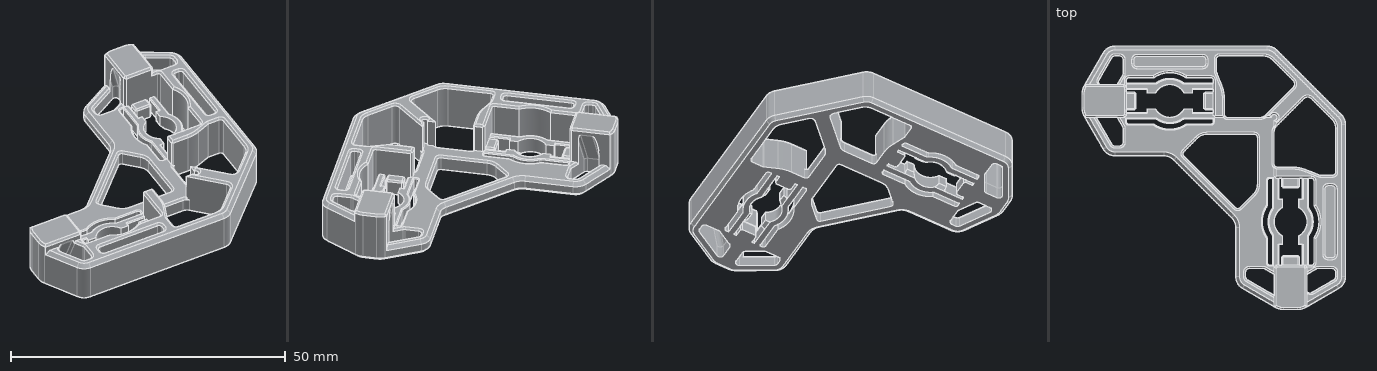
import cadquery as cq
import math

SIDE = 48.0
BLOCK_HEIGHT = 10.1
WALL_HEIGHT = 8.55
PLATE_HEIGHT = 2.95

ARM_WIDTH = 20.0
ARM_MIDDLE = SIDE - ARM_WIDTH / 2
NOSE_HALF_WIDTH = 2.05
NOSE_DEPTH = (ARM_WIDTH / 2 - NOSE_HALF_WIDTH) / math.tan(math.radians(60))
OUTER_CUT = 13.25
INNER_CORNER = 16.0
OUTLINE_RADIUS = 2.5
NOSE_RADIUS = 3.0
OUTER_CHAMFER = 0.7

RIM = 1.8
EDGE_CHAMFER = 0.4
FINE_CHAMFER = 0.2
SMALL_RADIUS = 0.6
RIB_WIDTH = 2.85

BLOCK_LENGTH = 8.1
BLOCK_HALF_WIDTH = 6.0 / 2

CLIP_LENGTH = 15.8
CLIP_X = BLOCK_LENGTH + CLIP_LENGTH / 2
STOP_X = BLOCK_LENGTH + CLIP_LENGTH
WINDOW_HALF_WIDTH = 4.2
WINDOW_BULGE_RADIUS = 5.15
SLOT_END_RADIUS = 0.45
BEAM_INNER = 2.1
BEAM_OUTER = 3.25
BEAM_RING_RADIUS = 4.15
CLIP_HOLE_RADIUS = 3.0
NUB_INNER = 1.45
NUB_HALF_LENGTH = 4.15
TOOTH_LENGTH = 1.75
TOOTH_HALF_WIDTH = 1.65
TOOTH_CHAMFER = 0.3

RECESS_EDGE = 35.0
RELIEF_RADIUS = 0.55

OPENING_LEFT = 24.5
OPENING_BEND_Y = 43.35
STOP_BACK_X = 25.95
STOP_BEND_Y = 39.6
STOP_BEND_RADIUS = 6.7
RIB_FOOT_RADIUS = 1.65
RIB_CORNER_RADIUS = 0.95

TRIANGLE_EDGE = 31.9
TRIANGLE_SLANT = 10.2

POCKET_LENGTH = 13.1
POCKET_WIDTH = 1.85
POCKET_Y = 45.15

TIP_RIGHT = 7.5
TIP_BLOCK_RIGHT = 6.45
TIP_DEPTH = 1.7
TIP_ROOF = 8.95
TIP_RADIUS = 0.65


def prism(points, height):
    """Upright prism standing on Z = 0."""
    return cq.Workplane("XY").polyline(points).close().extrude(height)


def round_corner(body, x, y, radius):
    """Round the upright edge that passes through (x, y)."""
    reach = 0.05
    box = cq.selectors.BoxSelector((x - reach, y - reach, -0.5), (x + reach, y + reach, SIDE), boundingbox=False)
    return body.edges("|Z").edges(box).fillet(radius)


def flared(body, top, chamfer):
    """Cutter that is straight up to the surface at `top`, where it opens out by a chamfer."""
    start = top - chamfer
    section = body.faces("<Z").wires().val().translate(cq.Vector(0, 0, start))
    flare = cq.Solid.extrudeLinear(section, [], cq.Vector(0, 0, 2 * chamfer), -45)
    return body.union(cq.Workplane(flare))


def across_arm(body):
    """Reflect about the middle plane of the arm along X."""
    return body.mirror("XZ", (0, ARM_MIDDLE, 0))


def other_arm(body):
    """Reflect about the plane X = Y."""
    return body.mirror(cq.Vector(1, -1, 0), (0, 0, 0))


def both_arms(body):
    return body.union(other_arm(body))


def outline(height, chamfer_top):
    """The whole L as a prism with chamfered outer edges."""
    half = [
        (INNER_CORNER, SIDE - ARM_WIDTH),
        (NOSE_DEPTH, SIDE - ARM_WIDTH),
        (0, ARM_MIDDLE - NOSE_HALF_WIDTH),
        (0, ARM_MIDDLE + NOSE_HALF_WIDTH),
        (NOSE_DEPTH, SIDE),
        (SIDE - OUTER_CUT, SIDE),
    ]
    mirrored = [(y, x) for x, y in reversed(half)]
    body = prism(half + mirrored, height)
    for x, y in half + mirrored:
        on_nose = 0 in (x, y)
        body = round_corner(body, x, y, NOSE_RADIUS if on_nose else OUTLINE_RADIUS)
    faces = "<Z or >Z" if chamfer_top else "<Z"
    return body.faces(faces).edges().chamfer(OUTER_CHAMFER)


def large_opening(bottom):
    rim_sum = 2 * SIDE - OUTER_CUT - RIM * math.sqrt(2)
    rib = RIB_WIDTH / math.sqrt(2)
    top = SIDE - RIM
    points = [
        (OPENING_LEFT, top),
        (OPENING_LEFT, OPENING_BEND_Y),
        (STOP_BACK_X, STOP_BEND_Y),
        (STOP_BACK_X, bottom),
        (bottom - rib, bottom),
        ((rim_sum - rib) / 2, (rim_sum + rib) / 2),
        (rim_sum - top, top),
    ]
    radii = [SMALL_RADIUS, SMALL_RADIUS, STOP_BEND_RADIUS]
    radii += [SMALL_RADIUS, RIB_FOOT_RADIUS, RIB_CORNER_RADIUS, OUTLINE_RADIUS]
    body = prism(points, BLOCK_HEIGHT)
    for (x, y), radius in zip(points, radii):
        body = round_corner(body, x, y, radius)
    return body


def triangular_opening():
    rim_sum = SIDE - ARM_WIDTH + INNER_CORNER + RIM * math.sqrt(2)
    tip = ((rim_sum - TRIANGLE_SLANT) / 2, (rim_sum + TRIANGLE_SLANT) / 2)
    shoulder = (TRIANGLE_EDGE - TRIANGLE_SLANT, TRIANGLE_EDGE)
    points = [tip, shoulder, (TRIANGLE_EDGE, TRIANGLE_EDGE), shoulder[::-1], tip[::-1]]
    body = prism(points, BLOCK_HEIGHT)
    for x, y in points:
        is_shoulder = (x, y) in (shoulder, shoulder[::-1])
        body = round_corner(body, x, y, OUTLINE_RADIUS if is_shoulder else SMALL_RADIUS)
    return body


def tip_opening(end_y, end_rounded):
    """Opening beside the block, on the +Y side of the arm, ending at `end_y`."""
    top = SIDE - RIM
    lean = 1 / math.tan(math.radians(60))
    rim_x = RIM / math.sin(math.radians(60))
    face_y = ARM_MIDDLE + BLOCK_HALF_WIDTH

    def left(y):
        return rim_x + (y - ARM_MIDDLE - NOSE_HALF_WIDTH) * lean

    bend_y = face_y + (TIP_RIGHT - TIP_BLOCK_RIGHT) / lean
    end_right = TIP_BLOCK_RIGHT + (end_y - face_y) * lean
    corners = [(left(top), top), (TIP_RIGHT, top), (TIP_RIGHT, bend_y)]
    ends = [(end_right, end_y), (left(end_y), end_y)]
    body = prism(corners + ends, BLOCK_HEIGHT)
    for x, y in corners + (ends if end_rounded else []):
        body = round_corner(body, x, y, TIP_RADIUS)
    return body


def block_pocket():
    """The part of the tip opening inside the block, closed by a steep sloping roof."""
    face_y = ARM_MIDDLE + BLOCK_HALF_WIDTH
    deep_y = face_y - TIP_DEPTH
    far_y = SIDE
    slope = (TIP_ROOF - PLATE_HEIGHT) / TIP_DEPTH
    over = 0.25
    section = [
        (far_y, 0),
        (deep_y, 0),
        (deep_y, PLATE_HEIGHT),
        (face_y + over, TIP_ROOF + over * slope),
        (far_y, TIP_ROOF + over * slope),
    ]
    wedge = cq.Workplane("YZ").polyline(section).close().extrude(SIDE / 2)
    body = tip_opening(deep_y, False).intersect(wedge)
    end_edges = cq.selectors.BoxSelector((0, deep_y - over, over), (SIDE, face_y + over, SIDE))
    return body.edges(end_edges).edges("not |X").fillet(TIP_RADIUS)


def clip_window():
    """Window that leaves room for the two clip beams."""
    straight = (
        cq.Workplane("XY")
        .center(CLIP_X, ARM_MIDDLE)
        .rect(CLIP_LENGTH, 2 * WINDOW_HALF_WIDTH)
        .extrude(BLOCK_HEIGHT)
        .edges("|Z")
        .fillet(SLOT_END_RADIUS)
    )
    bulge = cq.Workplane("XY").center(CLIP_X, ARM_MIDDLE).circle(WINDOW_BULGE_RADIUS).extrude(BLOCK_HEIGHT)
    return straight.union(bulge)


def edge_notch(x, chamfer):
    """Diamond that chamfers the upright edge of the stop at (x, RECESS_EDGE)."""
    y = RECESS_EDGE
    return prism([(x - chamfer, y), (x, y - chamfer), (x + chamfer, y), (x, y + chamfer)], BLOCK_HEIGHT)


def wall_recess():
    """Space above the plate where the tall wall is missing."""
    relief = cq.Workplane("XY").center(RECESS_EDGE, RECESS_EDGE).circle(RELIEF_RADIUS).extrude(BLOCK_HEIGHT)
    plate_side = cq.Workplane("XY").rect(2 * RECESS_EDGE, 2 * RECESS_EDGE).extrude(BLOCK_HEIGHT).union(relief)
    front_corner = edge_notch(STOP_X, EDGE_CHAMFER)
    back_corner = edge_notch(STOP_BACK_X, FINE_CHAMFER)
    below_block = prism(
        [(-SIDE, 0), (STOP_X, 0), (STOP_X, ARM_MIDDLE), (-SIDE, ARM_MIDDLE)], BLOCK_HEIGHT
    )
    arm = flared(clip_window().union(below_block), WALL_HEIGHT, EDGE_CHAMFER)
    corner = flared(plate_side, WALL_HEIGHT, EDGE_CHAMFER)
    return corner.union(both_arms(arm.union(front_corner).union(back_corner)))


def clip():
    """Two sprung beams with nubs around a round hole, and a tooth at each end of the window."""
    def slab(x_half, y_half):
        return (
            cq.Workplane("XY").center(CLIP_X, ARM_MIDDLE).rect(2 * x_half, 2 * y_half).extrude(PLATE_HEIGHT)
        )

    def disc(radius):
        return cq.Workplane("XY").center(CLIP_X, ARM_MIDDLE).circle(radius).extrude(PLATE_HEIGHT)

    beams = slab(CLIP_LENGTH / 2 + EDGE_CHAMFER, BEAM_OUTER).union(disc(BEAM_RING_RADIUS))
    ring_x = math.sqrt(BEAM_RING_RADIUS**2 - BEAM_OUTER**2)
    for x in (CLIP_X - ring_x, CLIP_X + ring_x):
        for y in (ARM_MIDDLE - BEAM_OUTER, ARM_MIDDLE + BEAM_OUTER):
            beams = round_corner(beams, x, y, SMALL_RADIUS)
    beams = beams.faces(">Z").edges().chamfer(FINE_CHAMFER)
    gap = flared(slab(CLIP_LENGTH / 2, BEAM_INNER), PLATE_HEIGHT, FINE_CHAMFER)
    nub_gap = slab(NUB_HALF_LENGTH, NUB_INNER).union(disc(CLIP_HOLE_RADIUS))
    nub_block = slab(NUB_HALF_LENGTH, BEAM_INNER + FINE_CHAMFER)
    beams = beams.cut(gap).union(nub_block).cut(nub_gap)
    underside = (
        cq.Workplane("YZ")
        .polyline([(-BEAM_INNER, 0), (0, BEAM_INNER), (BEAM_INNER, 0)])
        .close()
        .extrude(NUB_HALF_LENGTH, both=True)
        .translate((CLIP_X, ARM_MIDDLE, 0))
    )
    beams = beams.cut(underside)

    tooth = (
        cq.Workplane("XY")
        .center(BLOCK_LENGTH, ARM_MIDDLE)
        .rect(2 * TOOTH_LENGTH, 2 * TOOTH_HALF_WIDTH)
        .extrude(PLATE_HEIGHT)
        .edges("|Z or >Z")
        .chamfer(TOOTH_CHAMFER)
    )
    tooth = tooth.intersect(slab(CLIP_LENGTH / 2, BEAM_INNER))
    return beams.union(tooth).union(tooth.mirror("YZ", (CLIP_X, 0, 0)))


def wall_pocket():
    """Blind pocket in the outer wall, with its floor level with the top of the plate."""
    body = (
        cq.Workplane("XY")
        .center(CLIP_X, POCKET_Y)
        .rect(POCKET_LENGTH, POCKET_WIDTH)
        .extrude(BLOCK_HEIGHT)
        .edges("|Z")
        .fillet(SMALL_RADIUS)
    )
    above_plate = cq.Workplane("XY").workplane(offset=PLATE_HEIGHT).rect(3 * SIDE, 3 * SIDE).extrude(BLOCK_HEIGHT)
    return flared(body, WALL_HEIGHT, EDGE_CHAMFER).intersect(above_plate)


def block():
    """Raised block at the tip of the arm, hollowed from both sides."""
    rise = (
        cq.Workplane("XY")
        .box(2 * BLOCK_LENGTH, 2 * BLOCK_HALF_WIDTH, 2 * BLOCK_HEIGHT)
        .edges("|Z")
        .chamfer(EDGE_CHAMFER)
        .translate((0, ARM_MIDDLE, 0))
    )
    body = outline(BLOCK_HEIGHT, False).intersect(rise)
    body = body.faces(">Z").edges().chamfer(EDGE_CHAMFER)
    pocket = block_pocket()
    return body.cut(pocket).cut(across_arm(pocket))


def plate():
    """Low plate over the whole outline, with all its openings."""
    body = outline(PLATE_HEIGHT, True)
    body = body.cut(flared(triangular_opening(), PLATE_HEIGHT, EDGE_CHAMFER))
    tip = flared(tip_opening(ARM_MIDDLE + BLOCK_HALF_WIDTH - TIP_DEPTH, True), PLATE_HEIGHT, EDGE_CHAMFER)
    openings = (
        flared(large_opening(RECESS_EDGE), PLATE_HEIGHT, EDGE_CHAMFER)
        .union(across_arm(tip))
        .union(tip)
        .union(flared(clip_window(), PLATE_HEIGHT, FINE_CHAMFER))
    )
    return body.cut(both_arms(openings))


def wall():
    """Tall outer wall with the stops and the diagonal rib."""
    body = outline(WALL_HEIGHT, True).cut(wall_recess())
    openings = (
        flared(large_opening(RECESS_EDGE - RIB_WIDTH), WALL_HEIGHT, EDGE_CHAMFER)
        .union(flared(tip_opening(ARM_MIDDLE + BLOCK_HALF_WIDTH, True), WALL_HEIGHT, EDGE_CHAMFER))
        .union(block_pocket())
        .union(wall_pocket())
    )
    return body.cut(both_arms(openings))


result = plate().union(wall()).union(both_arms(block().union(clip())))